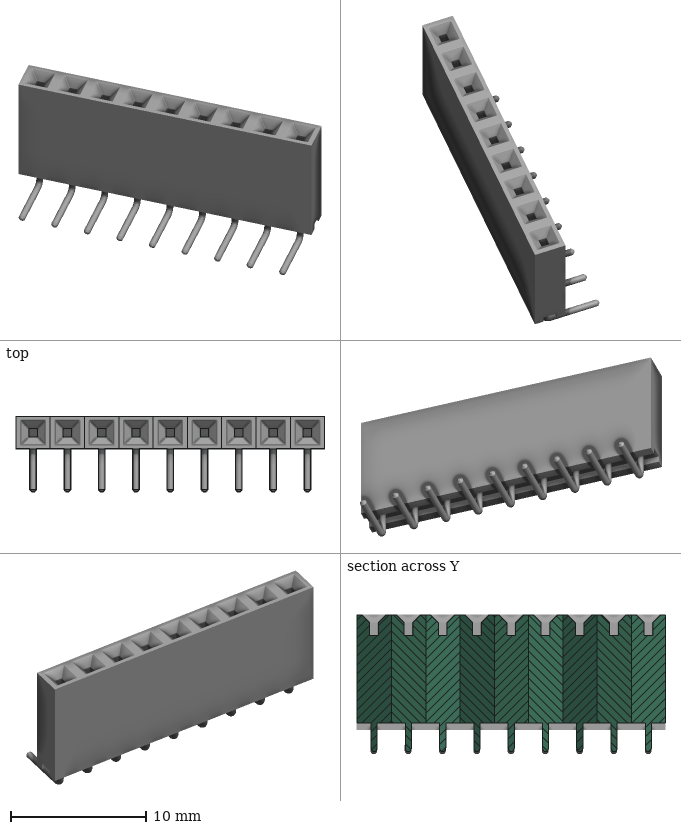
import cadquery as cq

SOCKET_COUNT = 9
ROW_LENGTH = 22.85
PITCH = ROW_LENGTH / SOCKET_COUNT

TOTAL_DEPTH = 5.6
TOTAL_HEIGHT = 10.35

BLOCK_DEPTH = 2.42
BLOCK_HEIGHT = 8.55

FUNNEL_WIDTH = 1.8
CONTACT_WIDTH = 0.62
FUNNEL_DEPTH = (FUNNEL_WIDTH - CONTACT_WIDTH) / 2
CONTACT_DEPTH = 0.91
MOUTH_EDGE_RADIUS = 0.05

RING_MARGIN = 0.02

CHANNEL_WIDTH = 1.05
CHANNEL_DEPTH = 0.5

PIN_DIAMETER = 0.5
BEND_RADIUS = 0.5
TIP_CHAMFER = 0.15

PIN_RADIUS = PIN_DIAMETER / 2
FUNNEL_END_Z = BLOCK_HEIGHT - FUNNEL_DEPTH
PIN_TIP_Y = BLOCK_DEPTH / 2 - TOTAL_DEPTH
PIN_LEG_Z = BLOCK_HEIGHT - TOTAL_HEIGHT + PIN_RADIUS


def make_block():
    """Rectangular block with the channel cut along its underside."""
    block = cq.Workplane("XY").box(PITCH, BLOCK_DEPTH, BLOCK_HEIGHT, centered=(True, True, False))
    channel = cq.Workplane("XY").box(PITCH, CHANNEL_WIDTH, CHANNEL_DEPTH, centered=(True, True, False))
    return block.cut(channel)


def rounded_square(width):
    """Square outline with rounded corners."""
    return cq.Sketch().rect(width, width).vertices().fillet(MOUTH_EDGE_RADIUS)


def edge_ring(width, height):
    """Selector for the edges of a centred square outline of this width at this height."""
    reach = width / 2 + RING_MARGIN
    return cq.selectors.BoxSelector(
        (-reach, -reach, height - RING_MARGIN), (reach, reach, height + RING_MARGIN)
    )


def make_mouth():
    """Volume removed from the top of the block, rounded where the funnel meets the contact hole."""
    wide_end = rounded_square(FUNNEL_WIDTH).moved(cq.Location(cq.Vector(0, 0, FUNNEL_DEPTH)))
    narrow_end = rounded_square(CONTACT_WIDTH)
    base = cq.Workplane("XY", origin=(0, 0, FUNNEL_END_Z))
    funnel = base.placeSketch(narrow_end, wide_end).loft(ruled=True)
    contact_hole = base.placeSketch(narrow_end).extrude(-CONTACT_DEPTH)
    mouth = funnel.union(contact_hole)
    return mouth.edges(edge_ring(CONTACT_WIDTH, FUNNEL_END_Z)).fillet(MOUTH_EDGE_RADIUS)


def make_pin():
    """Round pin that leaves the channel roof downward and bends toward -Y."""
    path = (
        cq.Workplane("YZ")
        .moveTo(0, CHANNEL_DEPTH)
        .lineTo(0, PIN_LEG_Z + BEND_RADIUS)
        .radiusArc((-BEND_RADIUS, PIN_LEG_Z), BEND_RADIUS)
        .lineTo(PIN_TIP_Y, PIN_LEG_Z)
    )
    pin = cq.Workplane("XY", origin=(0, 0, CHANNEL_DEPTH)).circle(PIN_RADIUS).sweep(path)
    return pin.faces("<Y").chamfer(TIP_CHAMFER)


def make_socket():
    """One socket: the block and its pin as a single solid."""
    block = make_block().cut(make_mouth())
    rounded_block = block.edges(edge_ring(FUNNEL_WIDTH, BLOCK_HEIGHT)).fillet(MOUTH_EDGE_RADIUS)
    return rounded_block.union(make_pin())


def make_socket_row():
    """Copies of the socket side by side, each a separate solid."""
    socket = make_socket()
    first_x = -(SOCKET_COUNT - 1) * PITCH / 2
    return [socket.translate((first_x + i * PITCH, 0, 0)).val() for i in range(SOCKET_COUNT)]


result = cq.Compound.makeCompound(make_socket_row())